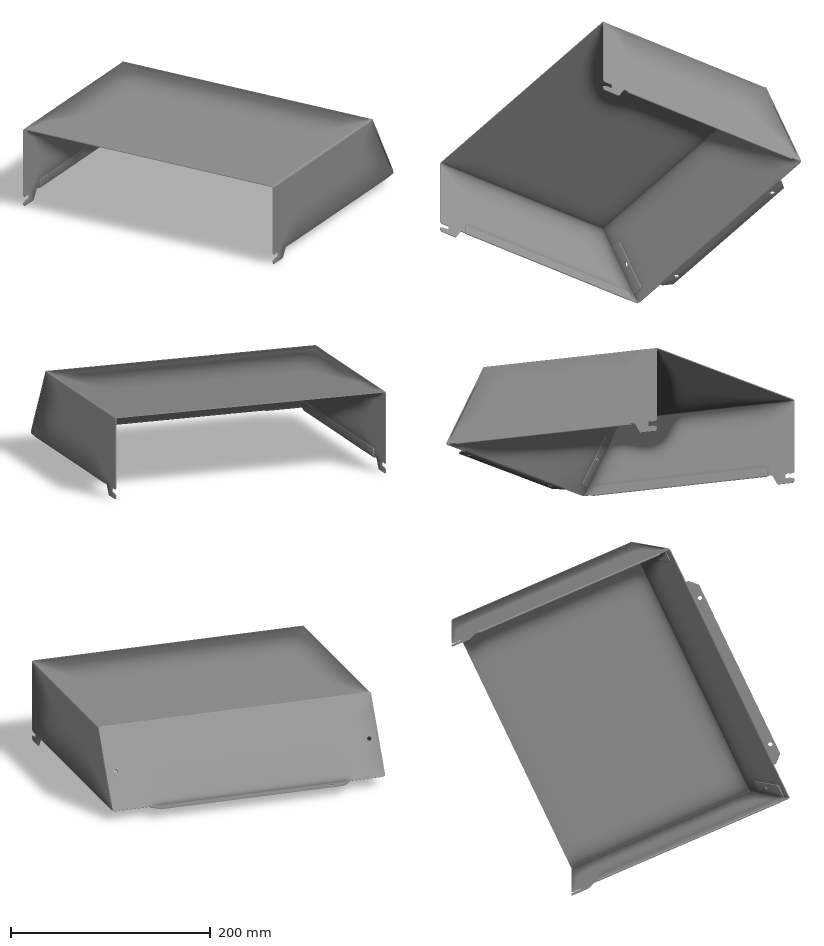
import math

import cadquery as cq

SHEET = 1.0
BEND_OUTER = 2.0
BEND_INNER = BEND_OUTER - SHEET
WIDTH = 290.0
DEPTH = 250.83
HEIGHT = 85.0
HALF_WIDTH = WIDTH / 2

SILL_Z = 10.0
SLOPE_ANGLE = 60.0
TOP_DEPTH = 197.0
TOP_BEND_RADIUS = 1.2
SLOPE_LENGTH = (HEIGHT - SILL_Z) / math.sin(math.radians(SLOPE_ANGLE))
WALL_OFFSET = SHEET / math.sin(math.radians(SLOPE_ANGLE))
REAR_CORNER_RADIUS = 3.0

FLANGE_WIDTH = 212.0
FLANGE_CHAMFER = 8.0
FLANGE_BEND_HEIGHT = 4.0
FLANGE_HOLE_DIAMETER = 4.5
FLANGE_HOLE_SPACING = 170.0
FLANGE_HOLE_EDGE = 5.0

FOOT_TOP_DEPTH = 25.0
FOOT_BOTTOM_DEPTH = 19.0
HOOK_SLOT_DEPTH = 10.0
HOOK_HEIGHT = 5.5
HOOK_CHAMFER = 1.5
HOOK_LEAD_LENGTH = 4.0
HOOK_LEAD_DROP = 1.2
WALL_CORNER_CHAMFER = 1.5

HEM_FRONT_Y = 30.0
HEM_LENGTH = 199.0
HEM_TOP_Z = 18.5
HEM_GAP = 0.05
HEM_CORNER_RADIUS = 3.0

TAB_WIDTH = 15.0
TAB_LENGTH = 54.5
TAB_START = 22.0
TAB_CORNER_RADIUS = 3.0
TAB_HOLE_DIAMETER = 4.5
TAB_HOLE_INSET = 10.0
TAB_HOLE_POSITION = 46.5
TAB_HOLE_REACH = 3 * SHEET

SIDES = (-1, 1)


def slope_plane():
    """Plane on the outer rear face at the top edge: local y runs down the slope."""
    angle = math.radians(SLOPE_ANGLE)
    return cq.Plane(
        origin=(0, TOP_DEPTH, HEIGHT),
        xDir=(1, 0, 0),
        normal=(0, math.sin(angle), math.cos(angle)),
    )


def section_plane(distance):
    """Plane across the slope, facing up it: local x is +X, local y points out of the rear face."""
    surface = slope_plane()
    origin = surface.toWorldCoords((0, distance))
    return cq.Plane(origin=origin, xDir=surface.xDir, normal=-surface.yDir)


def at_both_sides(part):
    return part.union(part.mirror("YZ"))


def slope_y(z):
    """Y of the outer rear face at height z."""
    return TOP_DEPTH + (HEIGHT - z) / math.tan(math.radians(SLOPE_ANGLE))


def make_channel():
    """Top and two side walls with bent edges and hooked feet, ending at the rear wall."""
    outer = cq.Workplane("XY").box(WIDTH, DEPTH, HEIGHT, centered=(True, False, False))
    outer = outer.edges("|Y and >Z").fillet(BEND_OUTER)
    inner = cq.Workplane("XY").box(
        WIDTH - 2 * SHEET, DEPTH, HEIGHT - SHEET, centered=(True, False, False)
    )
    inner = inner.edges("|Y and >Z").fillet(BEND_INNER)
    top_underside = HEIGHT - SHEET
    side_outline = [
        (0, HEIGHT),
        (TOP_DEPTH, HEIGHT),
        (slope_y(top_underside), top_underside),
        (slope_y(top_underside) - WALL_OFFSET, top_underside),
        (slope_y(SILL_Z) - WALL_OFFSET, SILL_Z),
        (FOOT_TOP_DEPTH, SILL_Z),
        (FOOT_BOTTOM_DEPTH, 0),
        (HOOK_CHAMFER, 0),
        (0, HOOK_CHAMFER),
        (0, HOOK_HEIGHT - HOOK_LEAD_DROP),
        (HOOK_LEAD_LENGTH, HOOK_HEIGHT),
        (HOOK_SLOT_DEPTH, HOOK_HEIGHT),
        (HOOK_SLOT_DEPTH, SILL_Z),
        (WALL_CORNER_CHAMFER, SILL_Z),
        (0, SILL_Z + WALL_CORNER_CHAMFER),
    ]
    profile = cq.Workplane("YZ").polyline(side_outline).close().extrude(HALF_WIDTH, both=True)
    return outer.cut(inner).intersect(profile)


def make_rear_wall():
    """Sloping plate with rounded lower corners, notched at the bottom for the flange bend."""
    plate = (
        cq.Workplane(slope_plane())
        .center(0, SLOPE_LENGTH / 2)
        .rect(WIDTH, SLOPE_LENGTH)
        .extrude(-SHEET)
    )
    lower_corners = cq.selectors.ParallelDirSelector(slope_plane().zDir)
    plate = plate.faces("<Z").edges(lower_corners).fillet(REAR_CORNER_RADIUS)
    notch = cq.Workplane("XY").box(
        FLANGE_WIDTH, 2 * DEPTH, SILL_Z + FLANGE_BEND_HEIGHT, centered=(True, True, False)
    )
    return plate.cut(notch)


def make_flange():
    """Flange bent rearward from the foot of the rear wall, with chamfered corners and two holes."""
    bend_top = SILL_Z + FLANGE_BEND_HEIGHT
    upper_z = SILL_Z + SHEET
    inside_corner = (slope_y(upper_z), upper_z)
    outside_corner = (slope_y(SILL_Z) - WALL_OFFSET, SILL_Z)
    section = [
        (slope_y(bend_top) - WALL_OFFSET, bend_top),
        (slope_y(bend_top), bend_top),
        inside_corner,
        (DEPTH, upper_z),
        (DEPTH, SILL_Z),
        outside_corner,
    ]
    flange = cq.Workplane("YZ").polyline(section).close().extrude(FLANGE_WIDTH / 2, both=True)
    flange = flange.edges("|Z and >Y").chamfer(FLANGE_CHAMFER)
    flange = flange.edges(cq.NearestToPointSelector((0, *inside_corner))).fillet(BEND_INNER)
    flange = flange.edges(cq.NearestToPointSelector((0, *outside_corner))).fillet(BEND_OUTER)
    holes = (
        cq.Workplane("XY", origin=(0, 0, SILL_Z))
        .pushPoints([(side * FLANGE_HOLE_SPACING / 2, DEPTH - FLANGE_HOLE_EDGE) for side in SIDES])
        .circle(FLANGE_HOLE_DIAMETER / 2)
        .extrude(SHEET)
    )
    return flange.cut(holes)


def make_hems():
    """Closed hems: a half-round fold under each side wall and a flap inside it."""
    fold_outer = SHEET + HEM_GAP / 2
    wall_inside = HALF_WIDTH - SHEET
    flap_outside = wall_inside - HEM_GAP
    flap_inside = flap_outside - SHEET
    middle = wall_inside - HEM_GAP / 2
    hem = (
        cq.Workplane("XZ", origin=(0, HEM_FRONT_Y, 0))
        .moveTo(HALF_WIDTH, SILL_Z)
        .threePointArc((middle, SILL_Z - fold_outer), (flap_inside, SILL_Z))
        .lineTo(flap_inside, HEM_TOP_Z)
        .lineTo(flap_outside, HEM_TOP_Z)
        .lineTo(flap_outside, SILL_Z)
        .threePointArc((middle, SILL_Z - HEM_GAP / 2), (wall_inside, SILL_Z))
        .close()
        .extrude(-HEM_LENGTH)
    )
    hem = hem.faces(">Z").edges("|X").fillet(HEM_CORNER_RADIUS)
    return at_both_sides(hem)


def make_tab_reliefs():
    """Space taken out of the side walls where the tab bends start."""
    relief = (
        cq.Workplane(section_plane(TAB_START + TAB_LENGTH))
        .center(HALF_WIDTH, -SHEET - BEND_OUTER / 2)
        .rect(2 * BEND_OUTER, BEND_OUTER)
        .extrude(TAB_LENGTH)
    )
    return at_both_sides(relief)


def make_tabs():
    """Tabs lying against the rear wall, joined to the side walls by a round bend."""
    face = -SHEET
    bend_end = face - BEND_OUTER
    bend_x = HALF_WIDTH - BEND_OUTER
    tip_x = HALF_WIDTH - TAB_WIDTH
    diagonal = math.sqrt(0.5)
    tab = (
        cq.Workplane(section_plane(TAB_START + TAB_LENGTH))
        .moveTo(tip_x, face)
        .lineTo(bend_x, face)
        .threePointArc(
            (bend_x + BEND_OUTER * diagonal, bend_end + BEND_OUTER * diagonal),
            (HALF_WIDTH, bend_end),
        )
        .lineTo(HALF_WIDTH - SHEET, bend_end)
        .threePointArc(
            (bend_x + BEND_INNER * diagonal, bend_end + BEND_INNER * diagonal),
            (bend_x, face - SHEET),
        )
        .lineTo(tip_x, face - SHEET)
        .close()
        .extrude(TAB_LENGTH)
    )
    tip_corners = cq.selectors.ParallelDirSelector(slope_plane().zDir)
    tab = tab.faces("<X").edges(tip_corners).fillet(TAB_CORNER_RADIUS)
    return at_both_sides(tab)


def make_tab_holes():
    """Cylinders through the rear wall and both tabs."""
    hole_x = HALF_WIDTH - TAB_HOLE_INSET
    return (
        cq.Workplane(slope_plane())
        .pushPoints([(side * hole_x, TAB_HOLE_POSITION) for side in SIDES])
        .circle(TAB_HOLE_DIAMETER / 2)
        .extrude(-TAB_HOLE_REACH)
    )


def round_top_bend(hood):
    """Round the outside of the bend between the top and the rear wall."""
    bend_edge = cq.NearestToPointSelector((0, TOP_DEPTH, HEIGHT))
    return hood.edges(bend_edge).fillet(TOP_BEND_RADIUS)


hood = make_channel().cut(make_tab_reliefs()).union(make_rear_wall())
hood = round_top_bend(hood)
result = (
    hood.union(make_flange())
    .union(make_hems())
    .union(make_tabs())
    .cut(make_tab_holes())
)